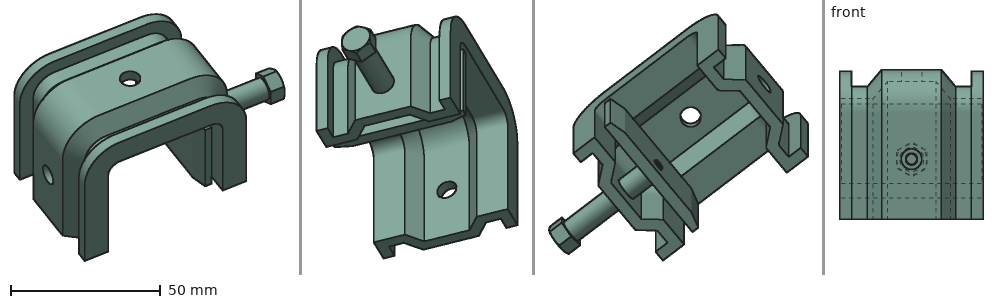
import cadquery as cq
import math

CLAMP_WIDTH = 48.0
CLAMP_SPAN = 63.0
CLAMP_HEIGHT = 50.0
SHORT_LEG_LIFT = 7.2
BEND_RADIUS = 14.0

SHEET = 4.0
CROWN_HALF_WIDTH = 9.9
GROOVE_INNER_X = 14.7
GROOVE_DEPTH = 5.6
LIP_TOP_DEPTH = 0.5

PLAIN_HOLE_DIAMETER = 6.9

OVERALL_LENGTH = 88.0

BOLT_Z = 20.1
SHANK_DIAMETER = 8.0
HEAD_ACROSS_FLATS = 10.0
HEAD_LENGTH = 5.5
HEAD_BEVEL_ANGLE = 30
HEAD_SIDES = 6
TIP_DIAMETER = 3.5
TIP_PROTRUSION = 0.5

PLATE_WIDTH = 47.0
PLATE_FLAT_WIDTH = 35.55
PLATE_THICKNESS = 4.05
PLATE_END_THICKNESS = 2.5
PLATE_BOTTOM_Z = 12.0
PLATE_HEIGHT = 26.6
PLATE_BACK_Y = 17.95
TIP_HOLE_DIAMETER = 4.0

OUTER_Y = CLAMP_SPAN / 2
HEAD_END_Y = OVERALL_LENGTH - OUTER_Y
HEAD_BASE_Y = HEAD_END_Y - HEAD_LENGTH
PLATE_FRONT_Y = PLATE_BACK_Y - PLATE_THICKNESS


def rod_along_y(diameter, start_y, end_y, z):
    """Round bar at X = 0, parallel to Y."""
    return (
        cq.Workplane("XZ", origin=(0, start_y, z))
        .circle(diameter / 2)
        .extrude(start_y - end_y)
    )


def sheet_section():
    """Hat-shaped sheet section with a raised crown, two grooves and two upturned lips."""
    lip_outer_x = CLAMP_WIDTH / 2
    lip_inner_x = lip_outer_x - SHEET
    inside_depth = GROOVE_DEPTH + SHEET
    slope_angle = math.atan2(GROOVE_DEPTH, GROOVE_INNER_X - CROWN_HALF_WIDTH)
    corner_shift = SHEET * math.tan(slope_angle / 2)

    outside = [
        (CROWN_HALF_WIDTH, 0),
        (GROOVE_INNER_X, GROOVE_DEPTH),
        (lip_inner_x, GROOVE_DEPTH),
        (lip_inner_x, LIP_TOP_DEPTH),
        (lip_outer_x, LIP_TOP_DEPTH),
    ]
    inside = [
        (lip_outer_x, inside_depth),
        (GROOVE_INNER_X - corner_shift, inside_depth),
        (CROWN_HALF_WIDTH - corner_shift, SHEET),
    ]
    right_half = outside + inside
    left_half = [(-x, depth) for x, depth in reversed(right_half)]
    return cq.Workplane("XY", origin=(0, -OUTER_Y, 0)).polyline(right_half + left_half).close()


def bend_path():
    """Middle line of the crown face: up the long leg, over the top, down the short leg."""
    bend_y = OUTER_Y - BEND_RADIUS
    bend_z = CLAMP_HEIGHT - BEND_RADIUS
    mid_bend = BEND_RADIUS * math.sqrt(0.5)
    return (
        cq.Workplane("YZ")
        .moveTo(-OUTER_Y, 0)
        .lineTo(-OUTER_Y, bend_z)
        .threePointArc((-bend_y - mid_bend, bend_z + mid_bend), (-bend_y, CLAMP_HEIGHT))
        .lineTo(bend_y, CLAMP_HEIGHT)
        .threePointArc((bend_y + mid_bend, bend_z + mid_bend), (OUTER_Y, bend_z))
        .lineTo(OUTER_Y, SHORT_LEG_LIFT)
    )


def make_clamp():
    clamp = sheet_section().sweep(bend_path())
    top_hole = (
        cq.Workplane("XY", origin=(0, 0, CLAMP_HEIGHT))
        .circle(PLAIN_HOLE_DIAMETER / 2)
        .extrude(-SHEET)
    )
    long_leg_hole = rod_along_y(PLAIN_HOLE_DIAMETER, -OUTER_Y, -OUTER_Y + SHEET, BOLT_Z)
    bolt_hole = rod_along_y(SHANK_DIAMETER, OUTER_Y - SHEET, OUTER_Y, BOLT_Z)
    return clamp.cut(top_hole).cut(long_leg_hole).cut(bolt_hole)


def bolt_head():
    """Hexagon with flats facing +X and -X, its end corners bevelled by a cone."""
    across_corners = HEAD_ACROSS_FLATS / math.cos(math.pi / HEAD_SIDES)
    bevel_width = (across_corners - HEAD_ACROSS_FLATS) / 2
    bevel_length = bevel_width * math.tan(math.radians(HEAD_BEVEL_ANGLE))
    hexagon = (
        cq.Workplane("XZ", origin=(0, HEAD_BASE_Y, BOLT_Z))
        .transformed(rotate=(0, 0, 90))
        .polygon(HEAD_SIDES, across_corners)
        .extrude(-HEAD_LENGTH)
    )
    bevelled_round = (
        rod_along_y(across_corners, HEAD_BASE_Y, HEAD_END_Y, BOLT_Z)
        .faces(">Y")
        .chamfer(bevel_length, bevel_width)
    )
    return hexagon.intersect(bevelled_round)


def make_bolt():
    shank = rod_along_y(SHANK_DIAMETER, PLATE_BACK_Y, HEAD_BASE_Y, BOLT_Z)
    tip = rod_along_y(TIP_DIAMETER, PLATE_FRONT_Y - TIP_PROTRUSION, PLATE_BACK_Y, BOLT_Z)
    return bolt_head().union(shank).union(tip)


def make_plate():
    end_x = PLATE_WIDTH / 2
    flat_x = PLATE_FLAT_WIDTH / 2
    slope_end_y = PLATE_BACK_Y - PLATE_END_THICKNESS
    outline = [
        (-end_x, PLATE_BACK_Y),
        (-end_x, slope_end_y),
        (-flat_x, PLATE_FRONT_Y),
        (flat_x, PLATE_FRONT_Y),
        (end_x, slope_end_y),
        (end_x, PLATE_BACK_Y),
    ]
    plate = (
        cq.Workplane("XY", origin=(0, 0, PLATE_BOTTOM_Z))
        .polyline(outline)
        .close()
        .extrude(PLATE_HEIGHT)
    )
    return plate.cut(rod_along_y(TIP_HOLE_DIAMETER, PLATE_FRONT_Y, PLATE_BACK_Y, BOLT_Z))


clamp = make_clamp()
bolt = make_bolt()
plate = make_plate()

result = cq.Compound.makeCompound([body.solids().val() for body in (clamp, bolt, plate)])